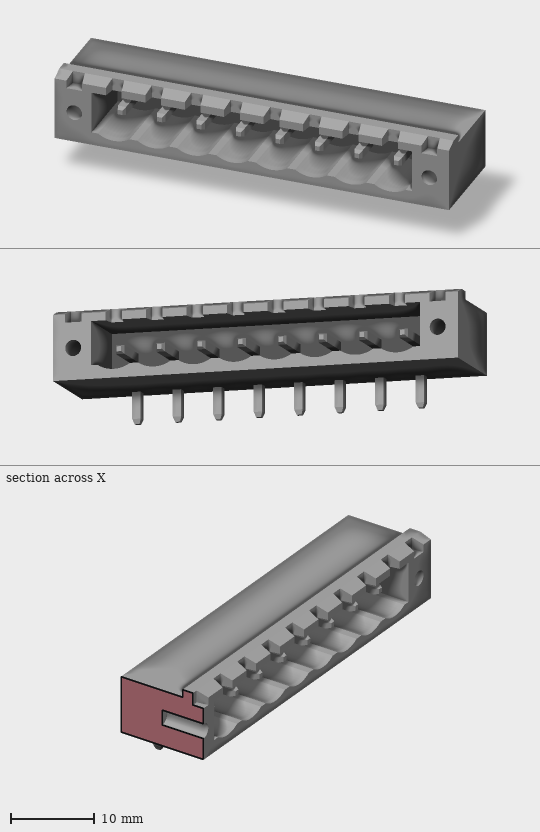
import cadquery as cq


pin_count = 8
pitch = 5.1
pin_xs = [(i - (pin_count - 1) / 2) * pitch for i in range(pin_count)]

length = (pin_count + 2) * pitch
depth = 12.0
overall_height = 12.6
body_height = 7.65
lip_height = 8.7
lip_depth = 3.05
bevel_depth = 1.5
bevel_drop = 0.6

cavity_length = 41.25
cavity_depth = 8.55
cavity_roof = 7.05
crest_height = 1.7
trough_height = 1.05
crest_width = 1.0

notch_depth = bevel_depth
notch_front_width = 2.05
notch_back_width = 1.5
notch_xs = [pin_xs[0] - pitch] + pin_xs + [pin_xs[-1] + pitch]

flange_hole_diameter = 2.0
flange_hole_depth = 6.0
flange_hole_xs = [notch_xs[0], notch_xs[-1]]

pin_width = 1.05
pin_tip_width = 0.6
pin_tip_length = 0.6
contact_height = 3.9
pin_tip_setback = 2.1
tail_setback = 2.1
tail_axis_y = depth - tail_setback
tail_length = overall_height - lip_height


def make_housing():
    profile = [
        (0, 0),
        (depth, 0),
        (depth, body_height),
        (lip_depth, body_height),
        (lip_depth, lip_height),
        (bevel_depth, lip_height),
        (0, lip_height - bevel_drop),
    ]
    return cq.Workplane("YZ").polyline(profile).close().extrude(length / 2, both=True)


def make_cavity():
    """Cavity with one shallow arched trough under each contact."""
    half_length = cavity_length / 2
    half_trough = (pitch - crest_width) / 2
    outline = (
        cq.Workplane("XZ")
        .moveTo(-half_length, cavity_roof)
        .lineTo(-half_length, crest_height)
    )
    for x in pin_xs:
        outline = outline.lineTo(x - half_trough, crest_height).threePointArc(
            (x, trough_height), (x + half_trough, crest_height)
        )
    outline = outline.lineTo(half_length, crest_height).lineTo(half_length, cavity_roof)
    return outline.close().extrude(-cavity_depth)


def make_notch(x):
    """Lip notch that narrows from the mating face towards the back."""
    half_front = notch_front_width / 2
    half_back = notch_back_width / 2
    return (
        cq.Workplane("XY", origin=(x, 0, cavity_roof))
        .polyline([
            (-half_front, 0),
            (half_front, 0),
            (half_back, notch_depth),
            (-half_back, notch_depth),
        ])
        .close()
        .extrude(lip_height - cavity_roof)
    )


def make_flange_hole(x):
    return (
        cq.Workplane("XZ", origin=(x, 0, contact_height))
        .circle(flange_hole_diameter / 2)
        .extrude(-flange_hole_depth)
    )


def make_leg(plane, leg_length):
    """Square pin leg along the plane's normal, tapered over its last stretch."""
    shank_length = leg_length - pin_tip_length
    shank = cq.Workplane(plane).rect(pin_width, pin_width).extrude(shank_length)
    tip = (
        cq.Workplane(plane)
        .workplane(offset=shank_length)
        .rect(pin_width, pin_width)
        .workplane(offset=pin_tip_length)
        .rect(pin_tip_width, pin_tip_width)
        .loft(combine=True)
    )
    return shank.union(tip)


def make_pin(x):
    """Right-angle pin: a contact towards -Y and a solder tail towards -Z."""
    heel_y = tail_axis_y + pin_width / 2
    heel_z = contact_height + pin_width / 2
    contact_plane = cq.Plane((x, heel_y, contact_height), xDir=(1, 0, 0), normal=(0, -1, 0))
    tail_plane = cq.Plane((x, tail_axis_y, heel_z), xDir=(1, 0, 0), normal=(0, 0, -1))
    contact = make_leg(contact_plane, heel_y - pin_tip_setback)
    tail = make_leg(tail_plane, heel_z + tail_length)
    return contact.union(tail)


result = make_housing().cut(make_cavity())
for x in notch_xs:
    result = result.cut(make_notch(x))
for x in flange_hole_xs:
    result = result.cut(make_flange_hole(x))
for x in pin_xs:
    result = result.union(make_pin(x))